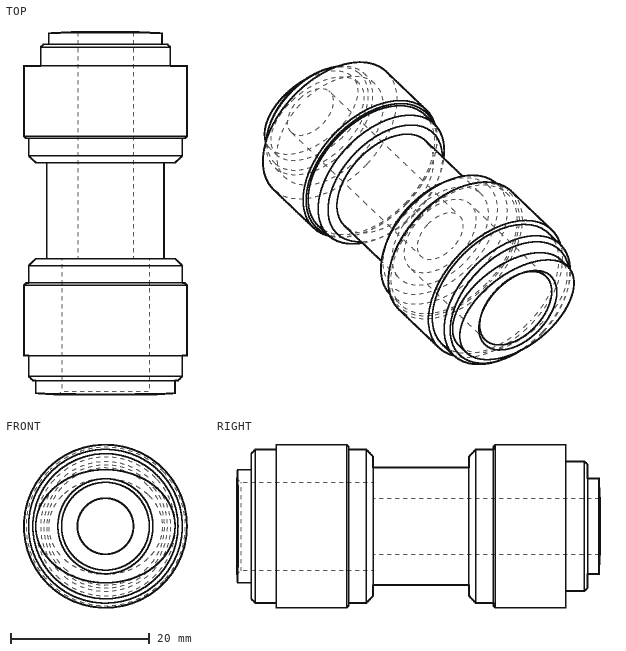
import cadquery as cq


total_length = 52.4
half_length = total_length / 2
socket_centre = 0.35

neck_radius = 8.5
body_radius = 11.1
cap_radius = 11.8
neck_half_length = 6.9
shoulder_chamfer_length = 1.0
shoulder_chamfer_width = 1.05
cap_inner_offset = 10.45
cap_outer_offset = 20.9
cap_chamfer = 0.3

large_ring_radius = body_radius
large_ring_end = 24.15
large_ring_chamfer = 0.65
large_collet_width = 20.1
large_collet_height = 16.35
small_ring_radius = 9.4
small_ring_end = 24.4
small_ring_chamfer = 0.45
small_collet_width = 16.4
small_collet_height = 13.85
collet_face_drop = 0.2

through_radius = 4.05
tube_bore_radius = 6.35
tube_bore_end = socket_centre - neck_half_length
bore_chamfer = 0.5


def turned(points):
    """Revolve an outline of (radius, Y) points about the Y axis."""
    return cq.Workplane("XY").polyline(points).close().revolve(360, (0, 0), (0, 1))


def cylinder(radius, start, end):
    return turned([(0, start), (radius, start), (radius, end), (0, end)])


def socket(side, ring_radius, ring_end, ring_chamfer):
    """Body, cap and retaining ring; side is +1 for +Y and -1 for -Y."""
    inner = neck_half_length
    profile = [
        (0, inner),
        (body_radius - shoulder_chamfer_width, inner),
        (body_radius, inner + shoulder_chamfer_length),
        (body_radius, cap_inner_offset),
        (cap_radius - cap_chamfer, cap_inner_offset),
        (cap_radius, cap_inner_offset + cap_chamfer),
        (cap_radius, cap_outer_offset),
        (ring_radius, cap_outer_offset),
    ]
    outline = [(radius, socket_centre + side * offset) for radius, offset in profile]
    outline += [
        (ring_radius, side * (ring_end - ring_chamfer)),
        (ring_radius - ring_chamfer, side * ring_end),
        (0, side * ring_end),
    ]
    return turned(outline)


def collet(side, width, height, mouth_radius):
    """Elliptical collet whose end face slopes back slightly away from its mouth."""
    oval = (
        cq.Workplane("XZ", origin=(0, side * half_length, 0))
        .ellipse(width / 2, height / 2)
        .extrude(side * (half_length - cap_outer_offset))
    )
    tip_radius = width / 2
    envelope = turned([
        (0, 0),
        (tip_radius, 0),
        (tip_radius, side * (half_length - collet_face_drop)),
        (mouth_radius, side * half_length),
        (0, side * half_length),
    ])
    return oval.intersect(envelope)


neck = cylinder(neck_radius, socket_centre - neck_half_length, socket_centre + neck_half_length)
large_socket = socket(-1, large_ring_radius, large_ring_end, large_ring_chamfer)
small_socket = socket(1, small_ring_radius, small_ring_end, small_ring_chamfer)
large_mouth_radius = tube_bore_radius + bore_chamfer
large_collet = collet(-1, large_collet_width, large_collet_height, large_mouth_radius)
small_collet = collet(1, small_collet_width, small_collet_height, through_radius)

through_bore = cylinder(through_radius, -half_length, half_length)
tube_bore = turned([
    (0, -half_length),
    (large_mouth_radius, -half_length),
    (tube_bore_radius, -half_length + bore_chamfer),
    (tube_bore_radius, tube_bore_end),
    (0, tube_bore_end),
])

result = (
    neck.union(large_socket)
    .union(small_socket)
    .union(large_collet)
    .union(small_collet)
    .cut(through_bore)
    .cut(tube_bore)
)